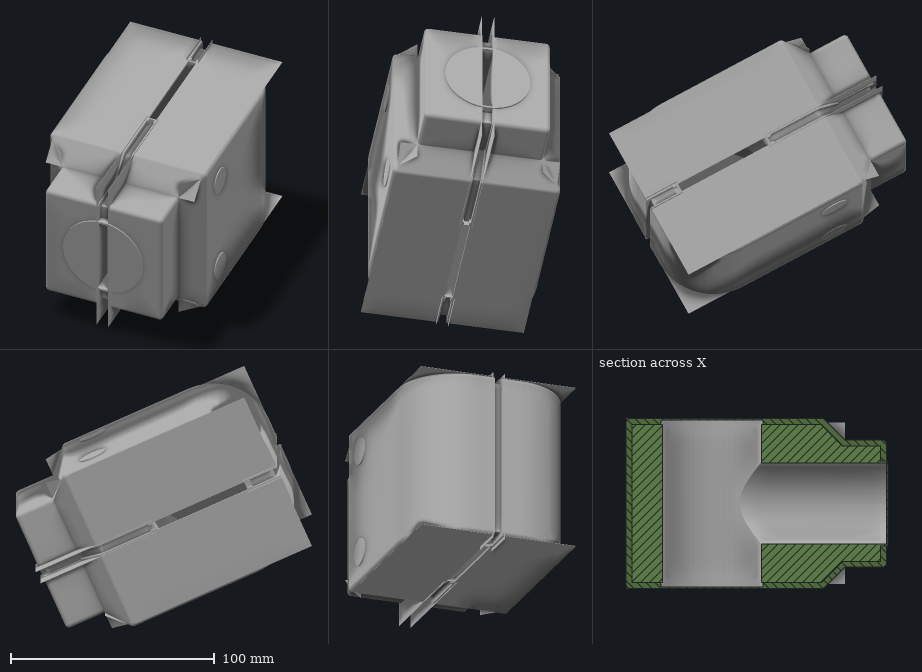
import cadquery as cq
import math


overall_length = 129.5
half_width = 41.8
rear_y = 42.2
rear_radius = 29.9
neck_half_width = 31.4
neck_start_y = -65.4
neck_end_y = -85.9
edge_radius = 2.1
shoulder_depth = half_width - neck_half_width
shoulder_start_y = neck_start_y + shoulder_depth

wall = 2.9
housing_gap = 2.1
neck_gap = 2.6
tongue_half_width = 5.0

bore_radius = 24.5
mouth_radius = 25.3
collar_radius = 27.3
collar_gap = 1.3
lip_height = 2.6
neck_bore_radius = 20.2
neck_collar_radius = 21.2
neck_collar_height = 0.8
neck_front_y = neck_end_y - neck_collar_height

sheet = 0.1
cover = 1.0
rear_plate_half_width = 40.7
rear_plate_y = half_width
fin_x = 3.0
rear_fin_height = 87.3
front_fin_height = 85.0
fin_end_y = rear_y - overall_length

pad_radius = 6.9
pad_height = 0.58
pad_y = -39.1
pad_z = 26.5

beyond = 259.1
tolerance = 0.01


def box(x0, x1, y0, y1, z0, z1):
    """Box between two opposite corners."""
    return cq.Workplane("XY").box(x1 - x0, y1 - y0, z1 - z0, centered=False).translate((x0, y0, z0))


def vertical_cylinder(radius, z0, z1):
    """Cylinder on the axis of the vertical bore."""
    return cq.Workplane("XY").workplane(offset=z0).circle(radius).extrude(z1 - z0)


def neck_cylinder(radius, y_front, y_back):
    """Cylinder on the axis of the neck bore."""
    return cq.Workplane("XZ").workplane(offset=-y_back).circle(radius).extrude(y_back - y_front)


def side_of_gap(side, gap):
    """Half space on one side (-1 or 1) of the parting gap."""
    start = side * gap
    end = side * beyond
    return box(min(start, end), max(start, end), -beyond, beyond, -beyond, beyond)


def housing_block(inset, front_y):
    """Housing with rounded rear corners, its outer faces moved inwards by inset."""
    half = half_width - inset
    block = box(-half, half, front_y, rear_y - inset, -half, half)
    return block.edges("|Z and >Y").fillet(rear_radius - inset)


def envelope(inset):
    """Housing, shoulder and neck, with every outer face moved inwards by inset."""
    half = half_width - inset
    neck_half = neck_half_width - inset
    corner_shift = inset * math.tan(math.pi / 8)
    shoulder_y = shoulder_start_y + corner_shift
    neck_y = neck_start_y + corner_shift
    housing = housing_block(inset, shoulder_y)
    shoulder = (
        cq.Workplane("XZ").workplane(offset=-shoulder_y).rect(2 * half, 2 * half)
        .workplane(offset=shoulder_y - neck_y).rect(2 * neck_half, 2 * neck_half)
        .loft(ruled=True)
    )
    neck = box(-neck_half, neck_half, neck_end_y + inset, neck_y, -neck_half, neck_half)
    return housing.union(shoulder).union(neck)


def is_outer_edge(edge):
    """True for the convex edges that are rounded."""
    middle = edge.positionAt(0.5)
    at_neck_root = abs(middle.y - neck_start_y) < tolerance
    on_rear_corner = edge.geomType() == "LINE" and middle.y > 0 and abs(middle.z) < tolerance
    return not at_neck_root and not on_rear_corner


def rounded_envelope():
    """Outer shape with its convex edges rounded."""
    body = envelope(0)
    edges = [edge for edge in body.edges().vals() if is_outer_edge(edge)]
    return body.newObject(edges).fillet(edge_radius)


def shoulder_corner():
    """Thin triangle flush with the upper shoulder face, reaching past its mitred +X end."""
    outer = half_width - edge_radius
    outer_y = neck_start_y + outer - neck_half_width
    slope = [
        (outer_y, outer),
        (neck_start_y, neck_half_width),
        (neck_start_y, neck_half_width - sheet),
        (outer_y, outer - sheet),
    ]
    mitre_setback = edge_radius / math.sqrt(2)
    triangle = [
        (neck_half_width - mitre_setback, neck_half_width),
        (outer - mitre_setback, outer),
        (outer, outer),
        (outer, neck_half_width),
    ]
    sloped_sheet = cq.Workplane("YZ").polyline(slope).close().extrude(outer)
    return sloped_sheet.intersect(cq.Workplane("XZ").polyline(triangle).close().extrude(beyond))


def rear_plate():
    """Thin rim flush with the top face, squaring off its rounded rear corners."""
    width = rear_plate_half_width
    front_y = shoulder_start_y + edge_radius
    plate = box(-width, width, front_y, rear_plate_y, half_width - sheet, half_width)
    top_face = housing_block(edge_radius, front_y).translate((0, 0, edge_radius))
    return plate.cut(top_face)


def bores():
    """Crossing bores behind the covers, the vertical one with wider mouths."""
    vertical = vertical_cylinder(bore_radius, wall - half_width, half_width - wall)
    mouths = vertical_cylinder(mouth_radius, half_width - wall, half_width - cover)
    mouths = mouths.union(mouths.mirror("XY"))
    horizontal = neck_cylinder(neck_bore_radius, neck_front_y + cover, 0)
    return vertical.union(mouths).union(horizontal)


def shell():
    """Rounded hollow cover with its corner plates and bore covers, before it is split."""
    body = rounded_envelope()
    for turn in range(4):
        for corner in (shoulder_corner(), shoulder_corner().mirror("YZ")):
            body = body.union(corner.rotate((0, 0, 0), (0, 1, 0), 90 * turn), clean=False)
    bore_cover = vertical_cylinder(collar_radius, half_width - cover, half_width)
    for turn in (0, 180):
        for part in (rear_plate(), bore_cover):
            body = body.union(part.rotate((0, 0, 0), (0, 1, 0), turn), clean=False)
    neck_cover = neck_cylinder(neck_collar_radius, neck_front_y, neck_end_y + cover)
    body = body.union(neck_cover, clean=False)
    return body.cut(bores(), clean=False)


def collar_tabs(side):
    """Ends of the collars around both mouths of the vertical bore, reaching into the gap."""
    ring = vertical_cylinder(collar_radius, half_width - wall, half_width)
    ring = ring.cut(vertical_cylinder(mouth_radius, -beyond, beyond))
    tabs = ring.union(ring.mirror("XY")).intersect(side_of_gap(side, collar_gap))
    return tabs.cut(side_of_gap(side, housing_gap))


def fins(side):
    """Thin parting fins behind and in front of the vertical bore."""
    x_inner = side * fin_x
    x_outer = side * (fin_x + sheet)
    x0 = min(x_inner, x_outer)
    x1 = max(x_inner, x_outer)
    rear = box(x0, x1, bore_radius, rear_y, -rear_fin_height / 2, rear_fin_height / 2)
    front = box(x0, x1, fin_end_y, -bore_radius, -front_fin_height / 2, front_fin_height / 2)
    front = front.cut(neck_cylinder(neck_collar_radius, -beyond, neck_end_y))
    return rear.union(front)


def tongue():
    """Core across the parting gap, one wall below the outer skin, with a rim around each bore."""
    width = tongue_half_width
    slab = box(-width, width, -beyond, beyond, -beyond, beyond)
    ring = neck_cylinder(neck_collar_radius, neck_front_y, neck_end_y + wall)
    lip_z = half_width - wall + lip_height
    lip = vertical_cylinder(mouth_radius, -lip_z, lip_z)
    for side in (-1, 1):
        lip = lip.cut(side_of_gap(side, housing_gap))
    core = envelope(wall).union(ring).intersect(slab).union(lip)
    core = core.cut(vertical_cylinder(bore_radius, -beyond, beyond))
    return core.cut(neck_cylinder(neck_bore_radius, -beyond, 0))


def half_shell(side):
    """One half of the cover, without the tongue or its recess."""
    half = shell().intersect(side_of_gap(side, housing_gap), clean=False)
    neck_relief = box(-neck_gap, neck_gap, -beyond, neck_start_y, -beyond, beyond)
    half = half.cut(neck_relief, clean=False)
    return half.union(collar_tabs(side), clean=False).union(fins(side), clean=False)


def side_pad(side, z):
    """Round pad on the side face of a half."""
    pad = cq.Workplane("YZ").center(pad_y, z).circle(pad_radius).extrude(side * pad_height)
    return pad.translate((side * half_width, 0, 0))


left_half = half_shell(-1).union(tongue(), clean=False)
right_half = half_shell(1).cut(tongue(), clean=False)
pads = [side_pad(side, z) for side in (-1, 1) for z in (-pad_z, pad_z)]

result = cq.Compound.makeCompound([
    left_half.solids().val(),
    right_half.solids().val(),
    *[pad.val() for pad in pads],
])